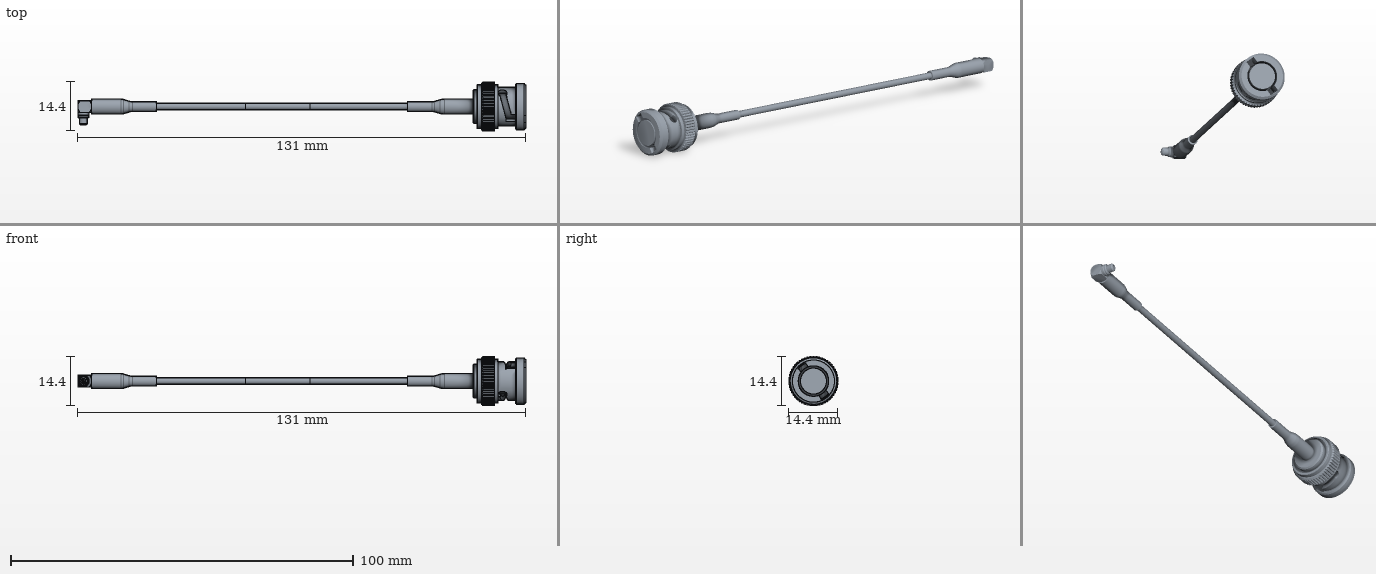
import cadquery as cq
import math

LENGTH = 131.0

CABLE_RADIUS = 0.98
LEFT_JOINT_X = 49.0
RIGHT_JOINT_X = 67.9

BLOCK_LENGTH = 4.0
BLOCK_HALF_WIDTH = 1.77
BLOCK_END_RADIUS = 1.8
PLUG_X = 1.64
COLLAR_RADIUS = PLUG_X
COLLAR_END = 2.8
COLLAR_CHAMFER = 0.3
SHOULDER_RADIUS = 1.6
SHOULDER_END = 3.4
PLUG_RADIUS = 1.2
PLUG_END = 5.4
NOSE_CHAMFER = 0.4
SOCKET_RADIUS = 0.7
SOCKET_DEPTH = 2.0
CONTACT_RADIUS = 0.3

SLEEVE_RADIUS = 2.2
SLEEVE_NECK_RADIUS = 1.5
LEFT_SLEEVE_END = 22.9
LEFT_SHOULDER_X = 13.0
LEFT_SHOULDER_BLEND = 0.4
LEFT_NECK_X = 15.5
LEFT_NECK_BLEND = 0.5
RIGHT_SLEEVE_END = 96.3
RIGHT_SHOULDER_X = 106.5
RIGHT_SHOULDER_BLEND = 0.7
RIGHT_NECK_X = 103.9
RIGHT_NECK_BLEND = 0.4

BACK_X = 115.4
BACK_RADIUS = 5.0
BACK_CHAMFER = 0.4
RIM_X = 116.6
GAP_RADIUS = 5.8
GAP_DEPTH = 0.7
RIM_RADIUS = 6.4
RIM_CHAMFER = 0.1
KNURL_X = 118.0
KNURL_CHAMFER = 0.4
KNURL_END_X = 121.7
KNURL_RADIUS = 7.2
KNURL_DEPTH = 0.4
KNURL_TEETH = 52
TOOTH_FLAT = 0.4
RIM_END_X = 122.7
SHELL_RADIUS = 5.7
FLANGE_X = 127.9
FLANGE_RADIUS = 6.8
FLANGE_BACK_CHAMFER = 0.4
FLANGE_FRONT_CHAMFER = 0.7
SHELL_BORE_RADIUS = 4.5
BARREL_RADIUS = 3.8

SLOT_COUNT = 2
DETENT_X = 124.0
DETENT_RADIUS = 1.3
DETENT_ANGLE = 45.0
ENTRY_X = 126.0
ENTRY_WIDTH = 2.6
ENTRY_ANGLE = -37.0
RAMP_WIDTH = 1.8
SLOT_REACH = 6.0


def cylinder(x_start, x_end, radius):
    return cq.Workplane("YZ", origin=(x_start, 0, 0)).circle(radius).extrude(x_end - x_start)


def revolve_about_x(profile):
    return profile.close().revolve(360, (0, 0, 0), (1, 0, 0))


def cable_length(x_start, x_end):
    return cylinder(x_start, x_end, CABLE_RADIUS)


def turned_block():
    """Square bar whose corners are cut by a 45 degree cone at both ends."""
    width = 2 * BLOCK_HALF_WIDTH
    bar = cq.Workplane("YZ").rect(width, width).extrude(BLOCK_LENGTH)
    peak_radius = BLOCK_END_RADIUS + BLOCK_LENGTH / 2
    double_cone = revolve_about_x(
        cq.Workplane("XY")
        .lineTo(0, BLOCK_END_RADIUS)
        .lineTo(BLOCK_LENGTH / 2, peak_radius)
        .lineTo(BLOCK_LENGTH, BLOCK_END_RADIUS)
        .lineTo(BLOCK_LENGTH, 0)
    )
    return bar.intersect(double_cone)


def right_angle_plug():
    """Turned block with a stepped round plug and a socket holding the contact."""
    def along_minus_y(radius, start, end):
        plane = cq.Workplane("XZ", origin=(PLUG_X, -start, 0))
        return plane.circle(radius).extrude(end - start)

    collar = along_minus_y(COLLAR_RADIUS, 0, COLLAR_END).faces("<Y").chamfer(COLLAR_CHAMFER)
    shoulder = along_minus_y(SHOULDER_RADIUS, COLLAR_END, SHOULDER_END)
    shoulder = shoulder.faces("<Y").chamfer(COLLAR_CHAMFER)
    nose = along_minus_y(PLUG_RADIUS, SHOULDER_END, PLUG_END).faces("<Y").chamfer(NOSE_CHAMFER)
    socket = along_minus_y(SOCKET_RADIUS, PLUG_END - SOCKET_DEPTH, PLUG_END)
    contact = along_minus_y(CONTACT_RADIUS, PLUG_END - SOCKET_DEPTH, PLUG_END)
    return turned_block().union(collar).union(shoulder).union(nose).cut(socket).union(contact)


def crimp_sleeve(wide_end, shoulder_x, shoulder_blend, neck_x, neck_blend, narrow_end):
    """Sleeve bored for the cable, with a cone between two rounded bends."""
    run = neck_x - shoulder_x
    drop = SLEEVE_RADIUS - SLEEVE_NECK_RADIUS
    slant = math.hypot(run, drop)
    along = run / slant
    inward = drop / slant
    direction = math.copysign(1, run)
    profile = (
        cq.Workplane("XY")
        .moveTo(wide_end, CABLE_RADIUS)
        .lineTo(wide_end, SLEEVE_RADIUS)
        .lineTo(shoulder_x - direction * shoulder_blend, SLEEVE_RADIUS)
        .tangentArcPoint(
            (shoulder_x + along * shoulder_blend, SLEEVE_RADIUS - inward * shoulder_blend), relative=False
        )
        .lineTo(neck_x - along * neck_blend, SLEEVE_NECK_RADIUS + inward * neck_blend)
        .tangentArcPoint((neck_x + direction * neck_blend, SLEEVE_NECK_RADIUS), relative=False)
        .lineTo(narrow_end, SLEEVE_NECK_RADIUS)
        .lineTo(narrow_end, CABLE_RADIUS)
    )
    return revolve_about_x(profile)


def knurled_grip():
    """Ring of flat-topped teeth with the back edge of the tips bevelled."""
    pitch = 2 * math.pi / KNURL_TEETH
    root_radius = KNURL_RADIUS - KNURL_DEPTH
    half_flat = TOOTH_FLAT / KNURL_RADIUS / 2
    points = []
    for i in range(KNURL_TEETH):
        middle = i * pitch
        for radius, angle in (
            (KNURL_RADIUS, middle - half_flat),
            (KNURL_RADIUS, middle + half_flat),
            (root_radius, middle + pitch / 2),
        ):
            points.append((radius * math.cos(angle), radius * math.sin(angle)))
    teeth = cq.Workplane("YZ", origin=(KNURL_X, 0, 0)).polyline(points).close().extrude(KNURL_END_X - KNURL_X)
    grip_length = KNURL_END_X - KNURL_X
    bevel_radius = KNURL_RADIUS - KNURL_CHAMFER
    bevel = revolve_about_x(
        cq.Workplane("XY")
        .moveTo(KNURL_X, 0)
        .lineTo(KNURL_X, bevel_radius)
        .lineTo(KNURL_END_X, bevel_radius + grip_length)
        .lineTo(KNURL_END_X, 0)
    )
    return teeth.intersect(bevel)


def slot_detent():
    """Round hole that holds the stud at the end of the ramp."""
    detent = cq.Workplane("XY", origin=(DETENT_X, 0, 0)).circle(DETENT_RADIUS).extrude(SLOT_REACH)
    return detent.rotate((0, 0, 0), (1, 0, 0), -DETENT_ANGLE)


def slot_ramp():
    """Slanted channel cut straight down over the top of the shell, from detent to entry."""
    detent_y = SHELL_RADIUS * math.sin(math.radians(DETENT_ANGLE))
    entry_y = SHELL_RADIUS * math.sin(math.radians(ENTRY_ANGLE))
    half = RAMP_WIDTH / 2
    outline = [
        (DETENT_X - half, detent_y),
        (DETENT_X + half, detent_y),
        (ENTRY_X + half, entry_y),
        (ENTRY_X - half, entry_y),
    ]
    return cq.Workplane("XY").polyline(outline).close().extrude(SLOT_REACH)


def slot_entry():
    """Straight channel that runs out through the open end, inside the flange."""
    start = ENTRY_X - RAMP_WIDTH / 2
    middle = (start + LENGTH) / 2
    plane = cq.Workplane("XY", origin=(middle, 0, 0))
    channel = plane.rect(LENGTH - start, ENTRY_WIDTH).extrude(SLOT_REACH)
    return channel.rotate((0, 0, 0), (1, 0, 0), -ENTRY_ANGLE)


def bayonet_plug():
    """Turned body with a knurled grip, a slotted shell and a central barrel in its bore."""
    profile = (
        cq.Workplane("XY")
        .moveTo(BACK_X, 0)
        .lineTo(BACK_X, BACK_RADIUS - BACK_CHAMFER)
        .lineTo(BACK_X + BACK_CHAMFER, BACK_RADIUS)
        .lineTo(RIM_X + GAP_DEPTH, BACK_RADIUS)
        .lineTo(RIM_X + GAP_DEPTH, GAP_RADIUS)
        .lineTo(RIM_X, GAP_RADIUS)
        .lineTo(RIM_X, RIM_RADIUS - RIM_CHAMFER)
        .lineTo(RIM_X + RIM_CHAMFER, RIM_RADIUS)
        .lineTo(RIM_END_X, RIM_RADIUS)
        .lineTo(RIM_END_X, SHELL_RADIUS)
        .lineTo(FLANGE_X, SHELL_RADIUS)
        .lineTo(FLANGE_X, FLANGE_RADIUS - FLANGE_BACK_CHAMFER)
        .lineTo(FLANGE_X + FLANGE_BACK_CHAMFER, FLANGE_RADIUS)
        .lineTo(LENGTH - FLANGE_FRONT_CHAMFER, FLANGE_RADIUS)
        .lineTo(LENGTH, FLANGE_RADIUS - FLANGE_FRONT_CHAMFER)
        .lineTo(LENGTH, 0)
    )
    body = revolve_about_x(profile).cut(cylinder(RIM_END_X, LENGTH, SHELL_BORE_RADIUS))
    for i in range(SLOT_COUNT):
        turn = 360 * i / SLOT_COUNT
        for cutter in (slot_detent(), slot_ramp(), slot_entry()):
            body = body.cut(cutter.rotate((0, 0, 0), (1, 0, 0), turn))
    barrel = cylinder(RIM_X, LENGTH, BARREL_RADIUS)
    return body.union(barrel).union(knurled_grip())


joints = [BLOCK_LENGTH, LEFT_JOINT_X, RIGHT_JOINT_X, BACK_X]
cables = [cable_length(start, end) for start, end in zip(joints, joints[1:])]
left_sleeve = crimp_sleeve(
    BLOCK_LENGTH, LEFT_SHOULDER_X, LEFT_SHOULDER_BLEND, LEFT_NECK_X, LEFT_NECK_BLEND, LEFT_SLEEVE_END
)
right_sleeve = crimp_sleeve(
    BACK_X, RIGHT_SHOULDER_X, RIGHT_SHOULDER_BLEND, RIGHT_NECK_X, RIGHT_NECK_BLEND, RIGHT_SLEEVE_END
)
result = cq.Compound.makeCompound(
    [right_angle_plug().val(), left_sleeve.val(), right_sleeve.val(), bayonet_plug().val()]
    + [cable.val() for cable in cables]
)